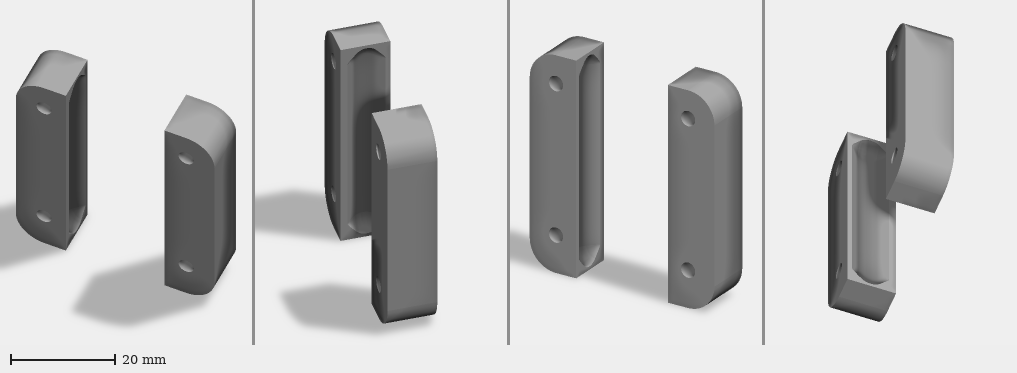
import cadquery as cq
import math

height = 46.0
overall_width = 42.0
thickness = 10.0

grip_width = 10.6
corner_radius = 6.0
hole_diameter = 3.2
hole_spacing = 32.0

groove_radius = 2.7
groove_front_margin = 1.43
groove_back_margin = 0.95
groove_end_margin = 3.85
end_axis_offset = 0.5

outer_x = overall_width / 2
inner_x = outer_x - grip_width
hole_x = outer_x - corner_radius
top_hole_z = height / 2 - corner_radius
bottom_hole_z = top_hole_z - hole_spacing
groove_half_width = (thickness - groove_front_margin - groove_back_margin) / 2
groove_y = (groove_front_margin - groove_back_margin) / 2
groove_half_length = height / 2 - groove_end_margin


def make_bar():
    """Bar with its outer corners rounded, on the +X side."""
    bar = cq.Workplane("XY").box(grip_width, thickness, height)
    bar = bar.translate((inner_x + grip_width / 2, 0, 0))
    return bar.faces(">X").edges("|Y").fillet(corner_radius)


def make_holes():
    """Two holes along Y, the top one concentric with the rounded corner."""
    return (
        cq.Workplane("XZ", origin=(hole_x, 0, 0))
        .pushPoints([(0, top_hole_z), (0, bottom_hole_z)])
        .circle(hole_diameter / 2)
        .extrude(thickness, both=True)
    )


def groove_profile(z):
    """Cross-section of the groove at height z, closed along the inner face."""
    slope_angle = math.asin(groove_radius / groove_half_width)
    tangent_x = groove_radius * math.cos(slope_angle)
    tangent_y = groove_radius * math.sin(slope_angle)
    return (
        cq.Workplane("XY", origin=(inner_x, groove_y, z))
        .moveTo(0, groove_half_width)
        .lineTo(tangent_x, tangent_y)
        .threePointArc((groove_radius, 0), (tangent_x, -tangent_y))
        .lineTo(0, -groove_half_width)
        .close()
    )


def make_groove():
    """Straight channel whose ends are the same profile turned about an axis along Y."""
    groove = groove_profile(-groove_half_length).extrude(2 * groove_half_length)
    axis_start = (-end_axis_offset, 0)
    axis_end = (-end_axis_offset, 1)
    for end_z in (-groove_half_length, groove_half_length):
        rounded_end = groove_profile(end_z).revolve(360, axis_start, axis_end)
        groove = groove.union(rounded_end)
    return groove


def make_grip():
    """Complete grip on the +X side, grooved on the face toward the other grip."""
    return make_bar().cut(make_holes()).cut(make_groove())


right_grip = make_grip()
left_grip = right_grip.mirror("YZ")

result = cq.Compound.makeCompound([*right_grip.solids().vals(), *left_grip.solids().vals()])